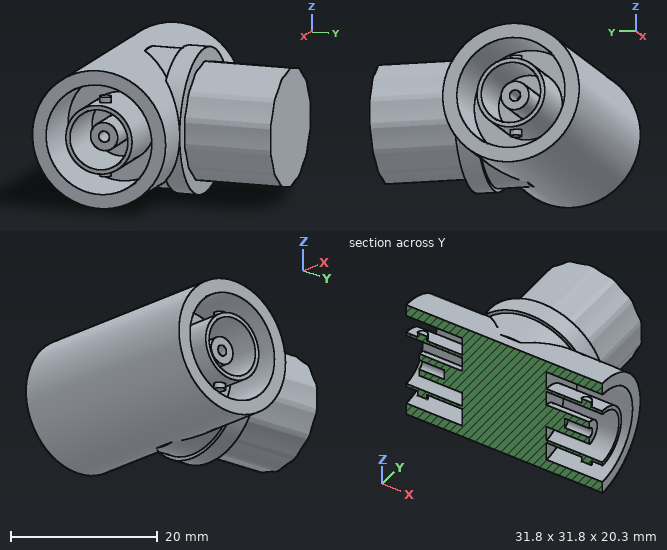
import cadquery as cq
import math

barrel_length = 31.75
barrel_radius = 9.65

branch_end = barrel_length - barrel_radius
collar_start = 1.55
flange_radius = 10.15
flange_thickness = 3.0
flange_end = barrel_radius

knob_radius = 8.3
scallop_count = 14
scallop_share = 0.8
scallop_sag = 0.05

socket_radius = 7.65
socket_depth = 9.02
spigot_outer_radius = 4.8
spigot_inner_radius = 4.2
contact_radius = 1.97
contact_recess = 2.1
contact_hole_radius = 0.75
contact_hole_depth = 4.0

lug_radius = 0.8
lug_tip = 5.55
lug_setback = 2.6


def y_cylinder(radius, start, end):
    """Cylinder along Y between two Y positions."""
    return cq.Workplane("XZ", origin=(0, start, 0)).circle(radius).extrude(start - end)


def x_cylinder(radius, start, length):
    """Cylinder along X that begins start units inside the -X end face of the barrel."""
    return cq.Workplane("YZ", origin=(start - barrel_length / 2, 0, 0)).circle(radius).extrude(length)


def rim_point(radius, angle):
    return radius * math.cos(angle), radius * math.sin(angle)


def make_knob():
    """Fluted grip: shallow concave scallops parted by narrow lands on the rim."""
    pitch = 2 * math.pi / scallop_count
    half_scallop = scallop_share * pitch / 2
    scallop_floor = knob_radius * math.cos(half_scallop) - scallop_sag
    outline = cq.Workplane("XZ", origin=(0, flange_end, 0))
    outline = outline.moveTo(*rim_point(knob_radius, -half_scallop))
    for index in range(scallop_count):
        middle = index * pitch
        next_start = middle + pitch - half_scallop
        outline = outline.threePointArc(
            rim_point(scallop_floor, middle), rim_point(knob_radius, middle + half_scallop)
        )
        outline = outline.threePointArc(
            rim_point(knob_radius, middle + pitch / 2), rim_point(knob_radius, next_start)
        )
    return outline.close().extrude(flange_end - branch_end)


def make_socket_cavity():
    """Empty space of the -X socket: the bore less its spigot, contact and lugs."""
    spigot = x_cylinder(spigot_outer_radius, 0, socket_depth).cut(
        x_cylinder(spigot_inner_radius, 0, socket_depth)
    )
    contact = x_cylinder(contact_radius, contact_recess, socket_depth - contact_recess).cut(
        x_cylinder(contact_hole_radius, contact_recess, contact_hole_depth)
    )
    lug_x = lug_setback - barrel_length / 2
    lug_root = (spigot_inner_radius + spigot_outer_radius) / 2
    lug = cq.Workplane("XY", origin=(lug_x, 0, lug_root)).circle(lug_radius).extrude(lug_tip - lug_root)
    cavity = x_cylinder(socket_radius, 0, socket_depth).cut(spigot).cut(contact)
    return cavity.cut(lug).cut(lug.mirror("XY"))


barrel = x_cylinder(barrel_radius, 0, barrel_length)
collar = y_cylinder(barrel_radius, collar_start, flange_end)
flange = y_cylinder(flange_radius, flange_end - flange_thickness, flange_end)
body = barrel.union(collar).union(flange).union(make_knob())

cavity = make_socket_cavity()
result = body.cut(cavity).cut(cavity.mirror("YZ"))